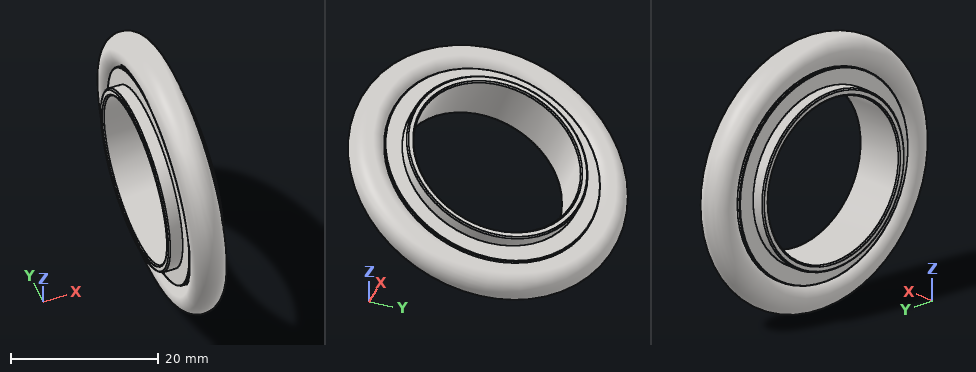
import cadquery as cq

outer_diameter = 40.0
hub_length = 8.0

bore_diameter = 24.0
hub_diameter = 26.1
hub_chamfer = 0.2
flange_diameter = 31.0
flange_width = 4.0
rim_chamfer = 0.1

cord_diameter = 5.0
cord_centre_radius = (outer_diameter - cord_diameter) / 2


def disc(diameter, length):
    """Solid disc on the X axis, centred on the YZ plane."""
    return cq.Workplane("YZ", origin=(-length / 2, 0, 0)).circle(diameter / 2).extrude(length)


def make_o_ring():
    """Round cord swept around the X axis."""
    cord = cq.Workplane("XY").center(0, cord_centre_radius).circle(cord_diameter / 2)
    return cord.revolve(360, (0, -cord_centre_radius, 0), (1, -cord_centre_radius, 0))


def make_centring_ring(o_ring):
    """Chamfered sleeve with a middle flange whose rim is hollowed to seat the O-ring."""
    hub = disc(hub_diameter, hub_length)
    flange = disc(flange_diameter, flange_width).edges().chamfer(rim_chamfer)
    sleeve = hub.union(flange).cut(disc(bore_diameter, hub_length))
    sleeve = sleeve.faces("<X or >X").edges().chamfer(hub_chamfer)
    return sleeve.cut(o_ring)


o_ring = make_o_ring()
centring_ring = make_centring_ring(o_ring)

result = cq.Compound.makeCompound([centring_ring.val(), o_ring.val()])